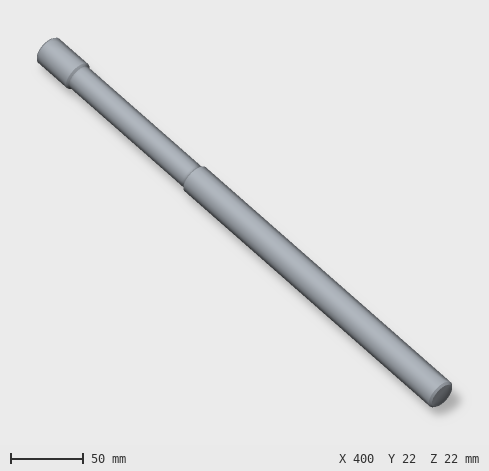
import cadquery as cq

total_length = 400.0
outer_diameter = 22.0
neck_diameter = 18.93

head_full_length = 31.0
shaft_full_length = 250.0

outer_radius = outer_diameter / 2
neck_radius = neck_diameter / 2

chamfer = outer_radius - neck_radius

left_end = -total_length / 2
right_end = total_length / 2
head_end = left_end + head_full_length + chamfer
shaft_start = right_end - shaft_full_length - chamfer


def round_bar(start, end, radius):
    """Cylinder along X between two positions."""
    return cq.Workplane("YZ", origin=(start, 0, 0)).circle(radius).extrude(end - start)


def chamfered_bar(start, end):
    """Thick section along X, chamfered at both ends."""
    return round_bar(start, end, outer_radius).faces("<X or >X").chamfer(chamfer)


head = chamfered_bar(left_end, head_end)
neck = round_bar(head_end, shaft_start, neck_radius)
shaft = chamfered_bar(shaft_start, right_end)

result = head.union(neck).union(shaft)